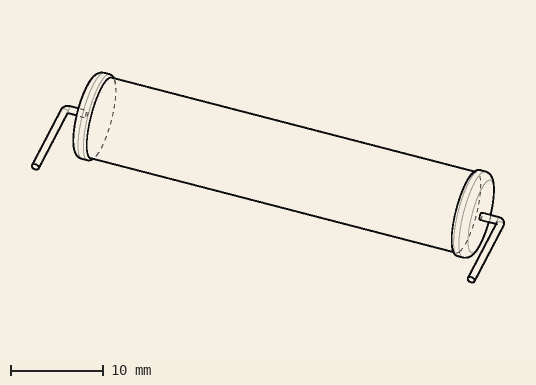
import cadquery as cq

overall_length = 50.8
overall_depth = 14.3
cap_diameter = 9.6

body_length = 45.2
body_diameter = 9.0
cap_width = 1.7
cap_outer_round = 0.75

wire_diameter = 0.8
bend_clearance = 0.01

cap_radius = cap_diameter / 2
body_radius = body_diameter / 2
cap_inner_round = cap_radius - body_radius
wire_radius = wire_diameter / 2
bend_radius = wire_radius + bend_clearance
lead_tip_y = cap_radius - overall_depth
lead_axis_x = overall_length / 2 - wire_radius


def make_body():
    """Plain cylinder that ends inside the caps, clear of their outer rounds."""
    half_length = body_length / 2 - cap_outer_round
    return cq.Workplane("YZ").circle(body_radius).extrude(half_length, both=True)


def make_cap():
    """End cap on the +X side, rounded on both rims."""
    return (
        cq.Workplane("YZ", origin=(body_length / 2 - cap_width, 0, 0))
        .circle(cap_radius)
        .extrude(cap_width)
        .faces(">X").edges().fillet(cap_outer_round)
        .faces("<X").edges().fillet(cap_inner_round)
    )


def make_lead():
    """Wire on the +X side: out along the axis, then bent toward -Y."""
    start_x = body_length / 2 - cap_width
    bend_start_x = lead_axis_x - bend_radius
    axial_run = (
        cq.Workplane("YZ", origin=(start_x, 0, 0))
        .circle(wire_radius)
        .extrude(bend_start_x - start_x)
    )
    bend = (
        cq.Workplane("YZ", origin=(bend_start_x, 0, 0))
        .circle(wire_radius)
        .revolve(90, (-bend_radius, 0.5, 0), (-bend_radius, 0, 0))
    )
    leg = (
        cq.Workplane("XZ", origin=(lead_axis_x, -bend_radius, 0))
        .circle(wire_radius)
        .extrude(-bend_radius - lead_tip_y)
    )
    return axial_run.union(bend).union(leg)


result = make_body()
for feature in (make_cap(), make_lead()):
    result = result.union(feature).union(feature.mirror("YZ"))